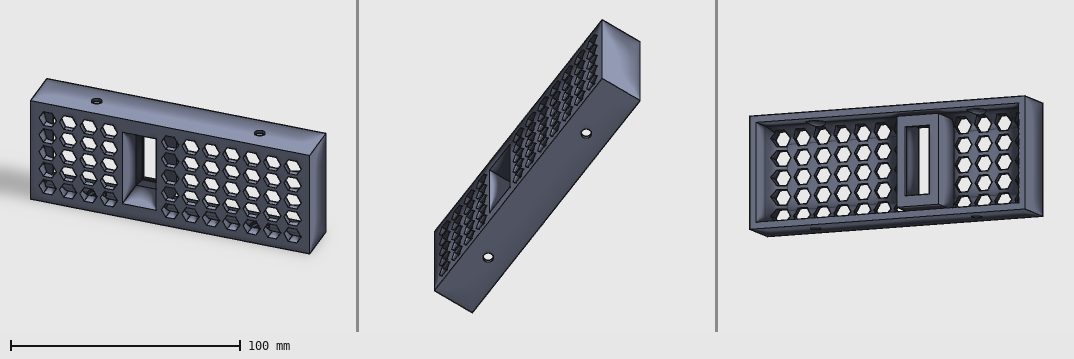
import cadquery as cq
import math

length = 130.0
depth = 20.0
height = 50.0
wall = 3.0
front_thickness = 2.5
inner_fillet = 7.4

vent_columns = 13
vent_rows = 5
column_span = 114.0
row_span = 34.5
row_web = 1.7
skipped_columns = (4, 5)
column_pitch = column_span / (vent_columns - 1)
row_pitch = row_span / (vent_rows - 1)
vent_flats = row_pitch - row_web
vent_diameter = vent_flats / math.cos(math.pi / 6)

window_x = -14.3
window_width = 15.7
window_height = 36.3
tunnel_wall = 2.0
neck_bevel = 2.1
lip_thickness = 1.3
lip_x = -14.0
lip_width = 11.5
lip_height = 30.4

screw_diameter = 4.5
screw_spacing = 75.9
recess_diameter = 8.5
screw_seat = 1.7

front_y = -depth / 2
back_y = depth / 2


def block(width, tall, y_start, y_end, x=0.0):
    """Rectangular block centred at x and Z = 0, running from y_start to y_end."""
    box = cq.Workplane("XY").box(width, y_end - y_start, tall, centered=(True, False, True))
    return box.translate((x, y_start, 0))


def open_box():
    """Hollow body with rounded inner edges behind the front plate."""
    cavity = block(length - 2 * wall, height - 2 * wall, front_y + front_thickness, back_y)
    cavity = cavity.faces("<Y").edges().fillet(inner_fillet)
    return block(length, height, front_y, back_y).cut(cavity)


def vent_cutter():
    """All hexagonal vents as prisms through the full depth."""
    centers = []
    for column in range(vent_columns):
        if column in skipped_columns:
            continue
        for row in range(vent_rows):
            x = column * column_pitch - column_span / 2
            z = row * row_pitch - row_span / 2
            centers.append((x, z))
    plane = cq.Workplane("XZ", origin=(0, back_y, 0))
    return plane.pushPoints(centers).polygon(6, vent_diameter).extrude(depth)


def tunnel_body():
    """Solid block that holds the window tunnel."""
    outer_width = window_width + 2 * tunnel_wall
    outer_height = window_height + 2 * tunnel_wall
    return block(outer_width, outer_height, front_y, back_y, window_x)


def tunnel_cutter():
    """Straight passage, 45 degree bevel on all four sides, then the lip opening."""
    bevel_end = back_y - lip_thickness
    passage = block(window_width, window_height, front_y, bevel_end, window_x)
    passage = passage.faces(">Y").edges().chamfer(neck_bevel)
    opening = block(lip_width, lip_height, front_y, back_y, lip_x)
    return passage.union(opening)


def screw_cutter():
    """Vertical screw holes at mid-depth in both long walls, with recesses for the heads inside."""
    positions = [(-screw_spacing / 2, 0), (screw_spacing / 2, 0)]
    plane = cq.Workplane("XY").pushPoints(positions)
    holes = plane.circle(screw_diameter / 2).extrude(height / 2, both=True)
    recesses = plane.circle(recess_diameter / 2).extrude(height / 2 - screw_seat, both=True)
    return holes.union(recesses)


result = (
    open_box()
    .cut(vent_cutter())
    .union(tunnel_body())
    .cut(tunnel_cutter())
    .cut(screw_cutter())
)